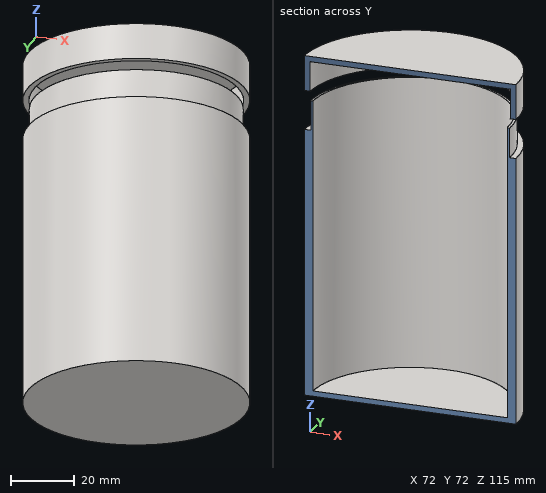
import cadquery as cq

total_height = 115.0
outer_diameter = 72.0
neck_diameter = 67.8
bore_diameter = 66.0
lid_recess_diameter = 68.0
shoulder_height = 90.0
neck_height = 10.0
end_thickness = 2.0

lid_height = neck_height + end_thickness
lid_bottom = total_height - lid_height
bore_depth = shoulder_height + neck_height - end_thickness


def make_jar():
    """Cylindrical jar with a narrower, thin-walled neck and a blind bore."""
    body = cq.Workplane("XY").circle(outer_diameter / 2).extrude(shoulder_height)
    body = body.faces(">Z").workplane().circle(neck_diameter / 2).extrude(neck_height)
    return body.faces(">Z").workplane().circle(bore_diameter / 2).cutBlind(-bore_depth)


def make_lid():
    """Round cap, as wide as the jar, with a recess below that fits the neck."""
    underside = cq.Workplane("XY").workplane(offset=lid_bottom)
    cap = underside.circle(outer_diameter / 2).extrude(lid_height)
    recess = underside.circle(lid_recess_diameter / 2).extrude(neck_height)
    return cap.cut(recess)


jar = make_jar()
lid = make_lid()

result = cq.Compound.makeCompound([jar.val(), lid.val()])